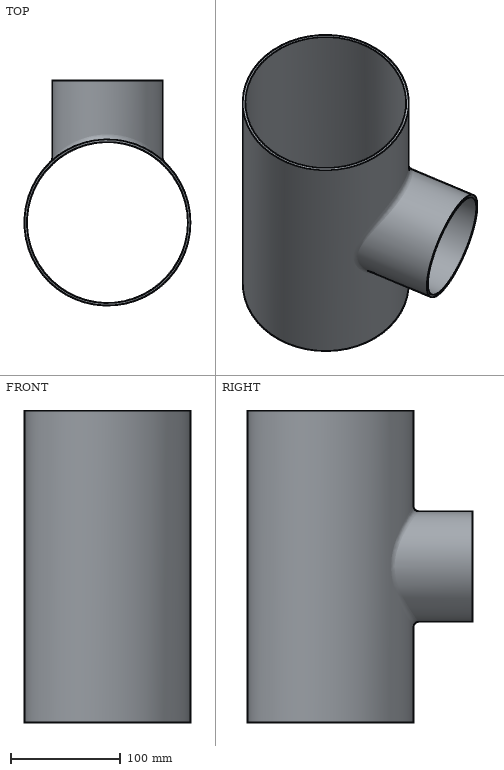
import cadquery as cq

run_length = 285.8
run_diameter = 152.3
wall = 2.5

overall_depth = 206.3
branch_diameter = 101.5
branch_reach = overall_depth - run_diameter / 2
branch_height = run_length / 2

junction_fillet = 4.5
end_margin = 3.0


def run_cylinder(diameter):
    return cq.Workplane("XY").circle(diameter / 2).extrude(run_length)


def branch_cylinder(diameter):
    plane = cq.Workplane("XZ", origin=(0, 0, branch_height))
    return plane.circle(diameter / 2).extrude(-branch_reach)


def round_junction(tee):
    junction_zone = cq.selectors.BoxSelector(
        (-branch_diameter, 0, branch_height - branch_diameter),
        (branch_diameter, branch_reach - end_margin, branch_height + branch_diameter),
        boundingbox=True,
    )
    return tee.edges(junction_zone).edges("not %LINE").fillet(junction_fillet)


outer = round_junction(run_cylinder(run_diameter).union(branch_cylinder(branch_diameter)))

run_bore = run_cylinder(run_diameter - 2 * wall)
branch_bore = branch_cylinder(branch_diameter - 2 * wall)
result = outer.cut(run_bore).cut(branch_bore)